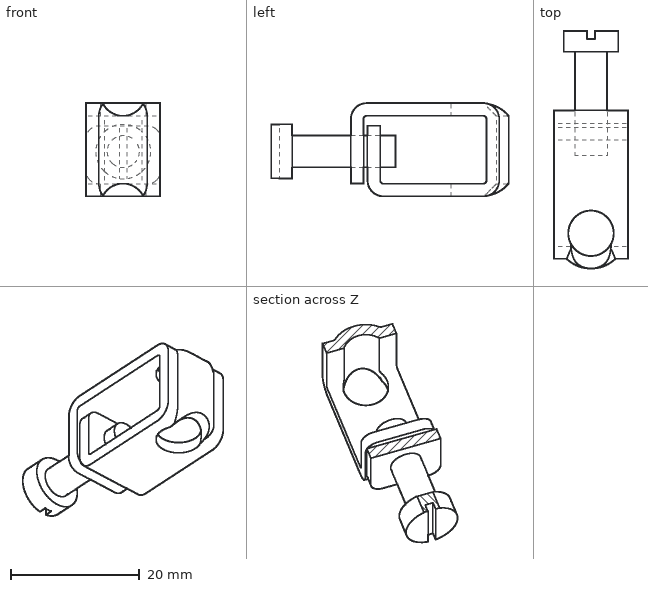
import cadquery as cq

width = 11.5
height = 14.5
plate = 2.0
inner_radius = 0.5
bend_radius = inner_radius + plate
front_face = 1.5
upper_flap_back = 24.55
lower_flap_back = 21.95
upper_flap_length = 12.5
lower_flap_length = 11.0
flap_corner = 2.0

wire_radius = 3.5
bulge_radius = wire_radius + plate
wire_y = bulge_radius

screw_back = 36.9
screw_tip = 17.6
screw_z = -0.25
shank_diameter = 5.0
head_diameter = 8.5
head_length = 3.3
slot_width = 1.2
slot_depth = 1.25

top = height / 2
bottom = -top
shank_radius = shank_diameter / 2


def block(y_min, y_max, z_min, z_max, across=width):
    """Box centred on X between the given Y and Z limits."""
    size = (across, y_max - y_min, z_max - z_min)
    return cq.Workplane("XY").box(*size).translate((0, (y_min + y_max) / 2, (z_min + z_max) / 2))


def rod(radius, y_min, y_max, z):
    """Cylinder along Y."""
    return cq.Workplane("XZ", origin=(0, y_min, z)).circle(radius).extrude(y_min - y_max)


def ring_half(back, z_min, z_max):
    """Part between two heights of a bent rectangular ring that reaches from the front face to `back`."""
    outer = block(front_face, back, bottom, top).edges("|X").fillet(bend_radius)
    opening = block(front_face + plate, back - plate, bottom + plate, top - plate)
    ring = outer.cut(opening.edges("|X").fillet(inner_radius))
    return ring.intersect(block(front_face, back, z_min, z_max))


def make_strip():
    """Bent strip: two ring halves joined at the front, whose rear flaps overlap around the screw."""
    upper_end = top - upper_flap_length
    lower_end = bottom + lower_flap_length
    upper_flap = block(upper_flap_back - plate, upper_flap_back, upper_end, screw_z)
    lower_flap = block(lower_flap_back - plate, lower_flap_back, screw_z, lower_end)

    strip = ring_half(upper_flap_back, screw_z, top)
    strip = strip.union(ring_half(lower_flap_back, bottom, screw_z))
    strip = strip.union(upper_flap.edges("|Y and <Z").fillet(flap_corner))
    return strip.union(lower_flap.edges("|Y and >Z").fillet(flap_corner))


def make_bulge():
    """Front half of a round-edged upright cylinder, limited to the front wall and its bends."""
    column = cq.Workplane("XY", origin=(0, wire_y, bottom)).circle(bulge_radius).extrude(height)
    column = column.edges("%CIRCLE").fillet(bend_radius)
    front = column.intersect(block(0, front_face + bend_radius, bottom, top))
    cavity = block(front_face + plate, wire_y, bottom + plate, top - plate)
    return front.cut(cavity.edges("|X and <Y").fillet(inner_radius))


def make_clamp():
    clamp = make_strip().union(make_bulge())
    wire_hole = cq.Workplane("XY", origin=(0, wire_y, bottom)).circle(wire_radius).extrude(height)
    clamp = clamp.cut(wire_hole)
    trough_z = top - plate + wire_radius
    for z in (trough_z, -trough_z):
        clamp = clamp.cut(rod(wire_radius, 0, wire_y, z))
    return clamp.cut(rod(shank_radius, screw_tip, screw_back, screw_z))


def make_screw():
    head_front = screw_back - head_length
    shank = rod(shank_radius, screw_tip, head_front, screw_z)
    head = rod(head_diameter / 2, head_front, screw_back, screw_z)
    slot = block(screw_back - slot_depth, screw_back, bottom, top, slot_width)
    return shank.union(head.cut(slot))


clamp = make_clamp()
screw = make_screw()
result = cq.Compound.makeCompound([clamp.val(), screw.val()])